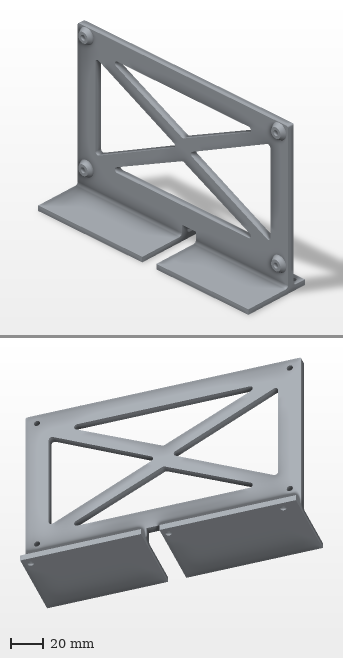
import cadquery as cq

length = 180.0
depth = 50.0
height = 120.0
left = -length / 2
right = length / 2
back = depth / 2

base_thickness = 4.0
plate_thickness = 5.0
plate_setback = 9.9
plate_back = back - plate_setback
plate_front = plate_back - plate_thickness
root_radius = 2.0
top_corner_radius = 1.0

window_centre_z = 66.0
window_half_length = 74.9
window_half_height = 40.0
side_half_base = 35.5
side_tip_offset = 4.3
top_half_base = 64.8
top_tip_offset = 8.1
window_radius = 2.0

standoff_spacing_x = 165.0
standoff_spacing_z = 95.0
standoff_height = 3.0
standoff_base_diameter = 12.0
standoff_tip_diameter = 8.1
hole_diameter = 4.0

notch_width = 12.0
notch_height = 12.0
notch_inset = 89.1
notch_left = left + notch_inset

base_hole_inset = 5.0
outer_hole_inset = 10.0
middle_hole_inset = 85.0
base_hole_y = back - base_hole_inset
base_hole_positions = [
    (left + outer_hole_inset, base_hole_y),
    (left + middle_hole_inset, base_hole_y),
    (right - base_hole_inset, base_hole_y),
]


def make_t_section():
    """Base and plate joined with rounded inside corners."""
    base = cq.Workplane("XY").box(length, depth, base_thickness, centered=(True, True, False))
    plate = (
        cq.Workplane("XY")
        .box(length, plate_thickness, height, centered=(True, False, False))
        .translate((0, plate_front, 0))
        .edges("|Y and >Z")
        .fillet(top_corner_radius)
    )
    root_edges = cq.selectors.BoxSelector(
        (left, plate_front - root_radius, base_thickness / 2),
        (right, plate_back + root_radius, base_thickness * 2),
    )
    return base.union(plate).edges("|X").edges(root_edges).fillet(root_radius)


def plate_plane(y, z):
    """Sketch plane facing -Y, with its origin at height z."""
    return cq.Workplane("XZ", origin=(0, y, z))


def make_window(points):
    """Triangular cutter with rounded corners."""
    return (
        plate_plane(plate_back, window_centre_z)
        .polyline(points)
        .close()
        .extrude(plate_thickness)
        .edges("|Y")
        .fillet(window_radius)
    )


def make_standoff():
    """Conical standoff that narrows away from the plate."""
    return (
        plate_plane(plate_front, 0)
        .circle(standoff_base_diameter / 2)
        .workplane(offset=standoff_height)
        .circle(standoff_tip_diameter / 2)
        .loft()
    )


result = make_t_section()

for side in (-1, 1):
    side_window = make_window([
        (side * window_half_length, -side_half_base),
        (side * window_half_length, side_half_base),
        (side * side_tip_offset, 0),
    ])
    upright_window = make_window([
        (-top_half_base, side * window_half_height),
        (top_half_base, side * window_half_height),
        (0, side * top_tip_offset),
    ])
    result = result.cut(side_window).cut(upright_window)

standoff_hole = (
    plate_plane(plate_back, 0)
    .circle(hole_diameter / 2)
    .extrude(plate_thickness + standoff_height)
)
for side_x in (-1, 1):
    for side_z in (-1, 1):
        position = (
            side_x * standoff_spacing_x / 2,
            0,
            window_centre_z + side_z * standoff_spacing_z / 2,
        )
        result = result.union(make_standoff().translate(position))
        result = result.cut(standoff_hole.translate(position))

notch = (
    cq.Workplane("XY")
    .box(notch_width, depth, notch_height, centered=(False, True, False))
    .translate((notch_left, 0, 0))
)
base_holes = (
    cq.Workplane("XY")
    .pushPoints(base_hole_positions)
    .circle(hole_diameter / 2)
    .extrude(base_thickness)
)
result = result.cut(notch).cut(base_holes)